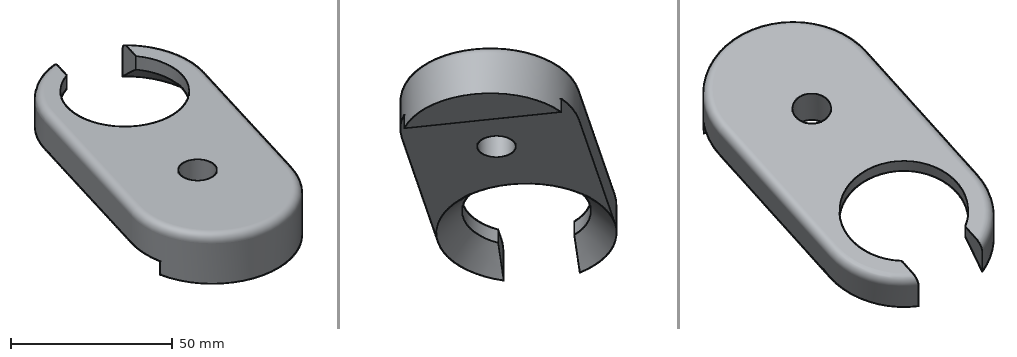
import cadquery as cq
import math

overall_length = 113.3
end_radius = 28.0
plate_thickness = 13.0
lip_height = 5.0
top_fillet = 3.0
ring_hole_diameter = 40.0
ring_land_height = 5.0
mouth_width = 24.0
small_hole_diameter = 12.0
small_hole_x = 50.0
lip_start_x = 73.0

mouth_tip_x = -math.sqrt(end_radius**2 - (mouth_width / 2) ** 2)
far_end_x = overall_length + mouth_tip_x
far_centre_x = far_end_x - end_radius
flare_height = plate_thickness - ring_land_height
ring_hole_radius = ring_hole_diameter / 2


def rounded_plate(bottom_z, height):
    """Plate with two full-radius ends."""
    return (
        cq.Workplane("XY", origin=(far_centre_x / 2, 0, bottom_z))
        .slot2D(far_centre_x + 2 * end_radius, 2 * end_radius)
        .extrude(height)
    )


def box_from(start_x, end_x, width, bottom_z, height):
    """Box between two X positions, centred on Y = 0."""
    return (
        cq.Workplane("XY", origin=((start_x + end_x) / 2, 0, bottom_z))
        .rect(end_x - start_x, width)
        .extrude(height)
    )


def flared_ring_hole():
    """Straight bore at the top, opening conically to the outer edge at the underside."""
    return (
        cq.Workplane("XZ")
        .moveTo(0, 0)
        .lineTo(end_radius, 0)
        .lineTo(ring_hole_radius, flare_height)
        .lineTo(ring_hole_radius, plate_thickness)
        .lineTo(0, plate_thickness)
        .close()
        .revolve(360, (0, 0, 0), (0, 1, 0))
    )


plate = rounded_plate(0, plate_thickness).faces(">Z").edges().fillet(top_fillet)

lip = rounded_plate(-lip_height, lip_height).intersect(
    box_from(lip_start_x, far_end_x, 2 * end_radius, -lip_height, lip_height)
)

mouth = box_from(-end_radius, 0, mouth_width, 0, plate_thickness)

small_hole = (
    cq.Workplane("XY")
    .center(small_hole_x, 0)
    .circle(small_hole_diameter / 2)
    .extrude(plate_thickness)
)

result = plate.union(lip).cut(mouth).cut(flared_ring_hole()).cut(small_hole)